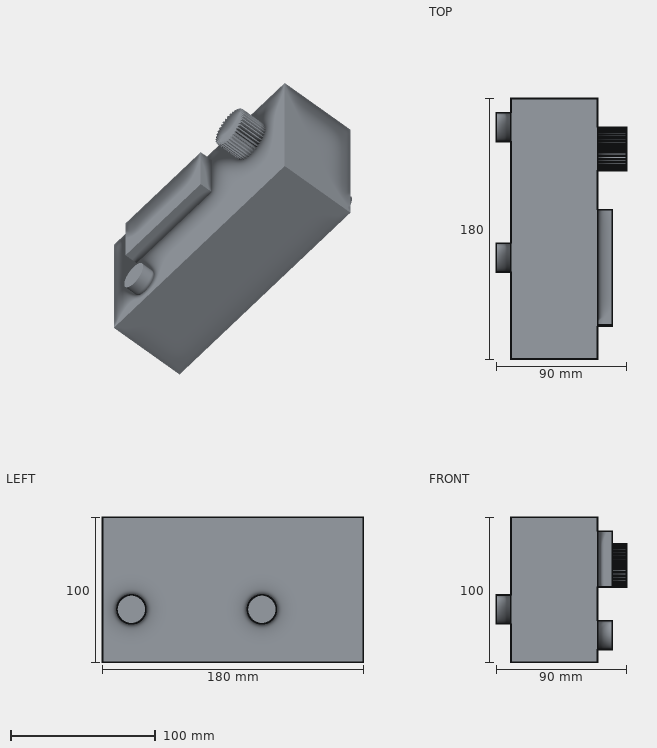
import cadquery as cq
import math

body_width = 60.0
body_length = 180.0
body_height = 100.0

step_height = 10.0
knob_height = 20.0

boss_diameter = 20.0

left_boss_end_gap = 20.0
left_boss_spacing = 90.0
left_boss_z = 36.5

plate_length = 79.2
plate_height = 38.5
plate_start_y = 24.0
plate_top_gap = 9.5

right_boss_y = 32.5
right_boss_z = 18.7

knob_radius = 15.0
knob_center_y = 145.0
knob_center_z = 66.8
tooth_count = 36
tooth_depth = 3.0


def side_plane(x):
    """Plane parallel to the side faces: local x runs along Y and local y along Z."""
    return cq.Workplane("YZ", origin=(x, 0, 0))


def make_body():
    return cq.Workplane("XY").box(body_width, body_length, body_height, centered=False)


def make_left_bosses():
    first_y = body_length - left_boss_end_gap
    centers = [(first_y, left_boss_z), (first_y - left_boss_spacing, left_boss_z)]
    return side_plane(0).pushPoints(centers).circle(boss_diameter / 2).extrude(-step_height)


def make_plate():
    plate_bottom_z = body_height - plate_top_gap - plate_height
    return (
        side_plane(body_width)
        .moveTo(plate_start_y, plate_bottom_z)
        .rect(plate_length, plate_height, centered=False)
        .extrude(step_height)
    )


def make_right_boss():
    return (
        side_plane(body_width)
        .moveTo(right_boss_y, right_boss_z)
        .circle(boss_diameter / 2)
        .extrude(step_height)
    )


def knob_outline():
    """Closed ring of teeth: two tip corners, then the bottom of a V groove, evenly spaced in angle."""
    root_radius = knob_radius - tooth_depth
    tooth_radii = [root_radius, knob_radius, knob_radius]
    corner_radii = tooth_radii * tooth_count
    corner_step = 2 * math.pi / len(corner_radii)
    points = []
    for index, radius in enumerate(corner_radii, start=1):
        angle = index * corner_step
        y = knob_center_y + radius * math.cos(angle)
        z = knob_center_z + radius * math.sin(angle)
        points.append((y, z))
    return points


def make_knob():
    return side_plane(body_width).polyline(knob_outline()).close().extrude(knob_height)


result = (
    make_body()
    .union(make_left_bosses())
    .union(make_plate())
    .union(make_right_boss())
    .union(make_knob())
)